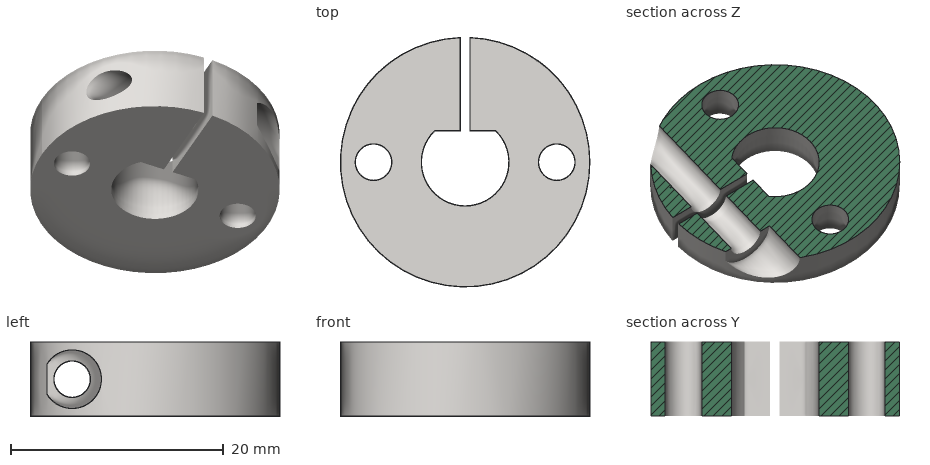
import cadquery as cq

outer_diameter = 23.43
thickness = 7.0

bore_diameter = 8.2
flat_distance = 2.93

slit_width = 0.9

mounting_hole_diameter = 3.4
mounting_hole_spacing = 17.2

screw_hole_diameter = 3.4
screw_head_diameter = 5.5
screw_y = 7.8
screw_z = thickness / 2
screw_seat_x = -5.8

outer_radius = outer_diameter / 2


def make_body():
    return cq.Workplane("XY").circle(outer_radius).extrude(thickness)


def make_bore():
    """Round bore with everything beyond the flat left as material."""
    round_bore = cq.Workplane("XY").circle(bore_diameter / 2).extrude(thickness)
    below_flat = (
        cq.Workplane("XY")
        .center(0, flat_distance - bore_diameter / 2)
        .rect(bore_diameter, bore_diameter)
        .extrude(thickness)
    )
    return round_bore.intersect(below_flat)


def make_slit():
    return (
        cq.Workplane("XY")
        .center(0, outer_radius / 2)
        .rect(slit_width, outer_radius)
        .extrude(thickness)
    )


def make_mounting_holes():
    half_spacing = mounting_hole_spacing / 2
    return (
        cq.Workplane("XY")
        .pushPoints([(-half_spacing, 0), (half_spacing, 0)])
        .circle(mounting_hole_diameter / 2)
        .extrude(thickness)
    )


def make_x_cylinder(diameter, start_x, end_x):
    """Cylinder on the clamp screw axis between two X positions."""
    return (
        cq.Workplane("YZ", origin=(start_x, screw_y, screw_z))
        .circle(diameter / 2)
        .extrude(end_x - start_x)
    )


def make_clamp_screw_hole():
    through_hole = make_x_cylinder(screw_hole_diameter, -outer_radius, outer_radius)
    head_recess = make_x_cylinder(screw_head_diameter, -outer_radius, screw_seat_x)
    return through_hole.union(head_recess)


result = (
    make_body()
    .cut(make_bore())
    .cut(make_slit())
    .cut(make_mounting_holes())
    .cut(make_clamp_screw_hole())
)